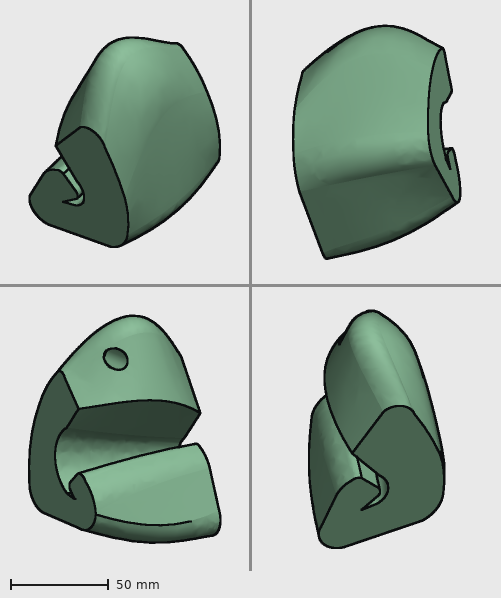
import cadquery as cq

WIDTH = 72.7
FLANK_Y = 17.9
MIDDLE_Y = 35.8
SHOULDER_Y = 54.8

HOLE_DIAMETER = 10.3
HOLE_Y = 50.0
HOLE_Z = 101.7
HOLE_FLOOR_X = 38.1


def add_outline(
    loft, y, sole, rear_corner, lower_back, upper_back, crown, head_tip,
    slot_bend, notch, hook_tip, hook_crown, hook_shoulder, heel,
):
    """Add one closed (X, Z) outline at depth y.

    The sole is a straight (start, end) edge. The rear corner, backs, crown and
    hook shoulder are (middle, end) arcs that continue the previous edge. The slot
    bend, hook tip and hook crown are (start, middle, end) arcs reached by a
    straight edge. The heel is a (start, middle) arc that closes onto the sole.
    """
    plane = cq.Plane(origin=(0, y, 0), xDir=(1, 0, 0), normal=(0, -1, 0))
    sketch = cq.Workplane(plane).moveTo(*sole[0]).lineTo(*sole[1])
    for middle, end in (rear_corner, lower_back, upper_back, crown):
        sketch = sketch.threePointArc(middle, end)
    sketch = sketch.lineTo(*head_tip)
    sketch = sketch.lineTo(*slot_bend[0]).threePointArc(*slot_bend[1:])
    sketch = sketch.lineTo(*notch)
    for start, middle, end in (hook_tip, hook_crown):
        sketch = sketch.lineTo(*start).threePointArc(middle, end)
    sketch = sketch.threePointArc(*hook_shoulder)
    sketch = sketch.lineTo(*heel[0]).threePointArc(heel[1], sole[0])
    loft.append(sketch.close().val())


outlines = []

add_outline(
    outlines, 0,
    sole=((13.1, 0.2), (54.1, 12.2)),
    rear_corner=((61.5, 19.2), (64.8, 28.5)),
    lower_back=((65.4, 41.7), (63.0, 56.6)),
    upper_back=((57.2, 71.8), (50.0, 85.9)),
    crown=((40.5, 93.0), (33.7, 90.0)),
    head_tip=(17.4, 64.1),
    slot_bend=((31.5, 46.8), (36.2, 37.0), (30.4, 27.5)),
    notch=(22.3, 24.4),
    hook_tip=((31.5, 33.4), (32.0, 36.4), (30.4, 39.0)),
    hook_crown=((22.5, 46.2), (20.3, 46.8), (17.6, 45.8)),
    hook_shoulder=((12.5, 41.7), (9.3, 36.7)),
    heel=((1.2, 16.0), (2.7, 3.8)),
)

add_outline(
    outlines, FLANK_Y,
    sole=((16.8, 1.1), (55.5, 12.3)),
    rear_corner=((65.9, 18.4), (68.8, 28.7)),
    lower_back=((65.5, 52.0), (60.9, 76.0)),
    upper_back=((55.5, 91.4), (42.0, 107.6)),
    crown=((32.7, 112.2), (24.7, 106.5)),
    head_tip=(10.7, 74.3),
    slot_bend=((31.3, 51.0), (38.4, 37.9), (31.2, 28.7)),
    notch=(23.6, 25.6),
    hook_tip=((32.0, 33.8), (32.4, 36.8), (31.0, 39.3)),
    hook_crown=((22.9, 46.6), (20.9, 47.0), (18.0, 46.0)),
    hook_shoulder=((12.3, 41.7), (8.8, 36.1)),
    heel=((0.5, 14.0), (4.2, 3.8)),
)

add_outline(
    outlines, MIDDLE_Y,
    sole=((19.8, 2.9), (56.0, 12.8)),
    rear_corner=((67.6, 17.9), (70.5, 28.6)),
    lower_back=((65.5, 57.2), (59.4, 85.2)),
    upper_back=((54.1, 100.1), (38.0, 116.5)),
    crown=((29.7, 119.1), (21.9, 112.8)),
    head_tip=(9.5, 80.1),
    slot_bend=((31.7, 55.5), (40.3, 39.9), (32.2, 29.5)),
    notch=(24.9, 26.8),
    hook_tip=((32.2, 34.1), (32.7, 37.0), (31.2, 39.3)),
    hook_crown=((23.2, 46.2), (21.5, 46.6), (18.5, 45.5)),
    hook_shoulder=((12.3, 40.8), (8.6, 34.5)),
    heel=((1.7, 14.8), (6.3, 5.6)),
)

add_outline(
    outlines, SHOULDER_Y,
    sole=((22.2, 8.0), (55.5, 13.6)),
    rear_corner=((66.3, 18.0), (69.5, 28.1)),
    lower_back=((65.4, 57.3), (58.5, 82.5)),
    upper_back=((52.8, 95.0), (40.6, 108.7)),
    crown=((33.8, 110.3), (27.9, 105.6)),
    head_tip=(14.2, 81.2),
    slot_bend=((32.8, 60.7), (42.2, 43.4), (33.1, 30.3)),
    notch=(26.2, 28.0),
    hook_tip=((32.0, 33.8), (32.4, 36.7), (31.1, 38.9)),
    hook_crown=((23.7, 45.3), (21.9, 45.6), (19.0, 44.3)),
    hook_shoulder=((12.4, 38.7), (8.7, 31.3)),
    heel=((4.6, 19.1), (9.7, 10.5)),
)

add_outline(
    outlines, WIDTH,
    sole=((23.8, 14.5), (54.2, 14.8)),
    rear_corner=((62.7, 18.5), (66.6, 27.4)),
    lower_back=((65.1, 52.5), (58.4, 71.5)),
    upper_back=((51.7, 83.4), (42.5, 93.7)),
    crown=((39.0, 94.9), (36.0, 92.4)),
    head_tip=(24.1, 78.8),
    slot_bend=((34.3, 65.9), (44.3, 47.7), (34.1, 30.6)),
    notch=(27.4, 29.2),
    hook_tip=((31.5, 33.4), (32.0, 36.0), (30.8, 37.9)),
    hook_crown=((24.5, 43.9), (21.9, 44.0), (18.0, 41.0)),
    hook_shoulder=((12.6, 35.5), (9.3, 27.2)),
    heel=((9.2, 25.7), (13.8, 17.3)),
)

body = cq.Workplane(cq.Solid.makeLoft(
    [cq.Wire.assembleEdges(outline.Edges()) for outline in outlines]
))

hole = (
    cq.Workplane("YZ")
    .center(HOLE_Y, HOLE_Z)
    .circle(HOLE_DIAMETER / 2)
    .extrude(HOLE_FLOOR_X)
)

result = body.cut(hole)